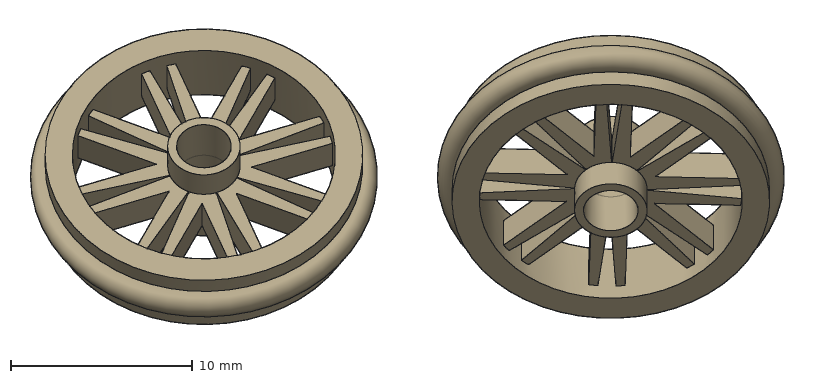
import cadquery as cq
import math

tyre_diameter = 19.12
tyre_section_radius = 0.75
tyre_centre_radius = tyre_diameter / 2 - tyre_section_radius

rim_diameter = 17.5
rim_bore = 14.5
rim_width = 4.0
hub_diameter = 4.0
hub_bore = 3.0
hub_length = 5.5

spoke_count = 8
spoke_width = 2.0
spoke_thickness = 2.0
split_width = 1.0
split_apex_radius = 1.8

rim_radius = rim_diameter / 2
groove_root_radius = tyre_centre_radius - tyre_section_radius * math.sqrt(2)
groove_half_width = rim_radius - groove_root_radius


def make_cylinder(diameter, height):
    """Cylinder along Z, centred on Z = 0."""
    return cq.Workplane("XY").circle(diameter / 2).extrude(height / 2, both=True)


def make_groove():
    """Triangular-section cutter around the outside of the rim."""
    section = (
        cq.Workplane("XZ")
        .moveTo(groove_root_radius, 0)
        .lineTo(rim_radius, groove_half_width)
        .lineTo(rim_radius, -groove_half_width)
        .close()
    )
    return section.revolve(360, (0, 0, 0), (0, 1, 0))


def make_spokes():
    """Split spokes filling the space between hub and rim."""
    bore_radius = rim_bore / 2
    bar_length = (bore_radius + rim_radius - groove_half_width) / 2

    bars = cq.Workplane("XY")
    wedges = cq.Workplane("XY")
    bar = cq.Workplane("XY").box(bar_length, spoke_width, spoke_thickness, centered=(False, True, True))
    wedge = (
        cq.Workplane("XY")
        .moveTo(split_apex_radius, 0)
        .lineTo(bore_radius, split_width / 2)
        .lineTo(bar_length, split_width / 2)
        .lineTo(bar_length, -split_width / 2)
        .lineTo(bore_radius, -split_width / 2)
        .close()
        .extrude(spoke_thickness / 2, both=True)
    )
    for index in range(spoke_count):
        angle = index * 360 / spoke_count
        bars = bars.union(bar.rotate((0, 0, 0), (0, 0, 1), angle))
        wedges = wedges.union(wedge.rotate((0, 0, 0), (0, 0, 1), angle))

    return bars.cut(wedges)


def make_wheel():
    rim = make_cylinder(rim_diameter, rim_width).cut(make_cylinder(rim_bore, rim_width)).cut(make_groove())
    hub = make_cylinder(hub_diameter, hub_length)
    axle_hole = make_cylinder(hub_bore, hub_length)
    return rim.union(make_spokes()).union(hub).cut(axle_hole)


def make_tyre():
    section = cq.Workplane("XZ").center(tyre_centre_radius, 0).circle(tyre_section_radius)
    return section.revolve(360, (-tyre_centre_radius, 0, 0), (-tyre_centre_radius, 1, 0))


wheel = make_wheel()
tyre = make_tyre()
result = cq.Compound.makeCompound([wheel.solids().val(), tyre.solids().val()])